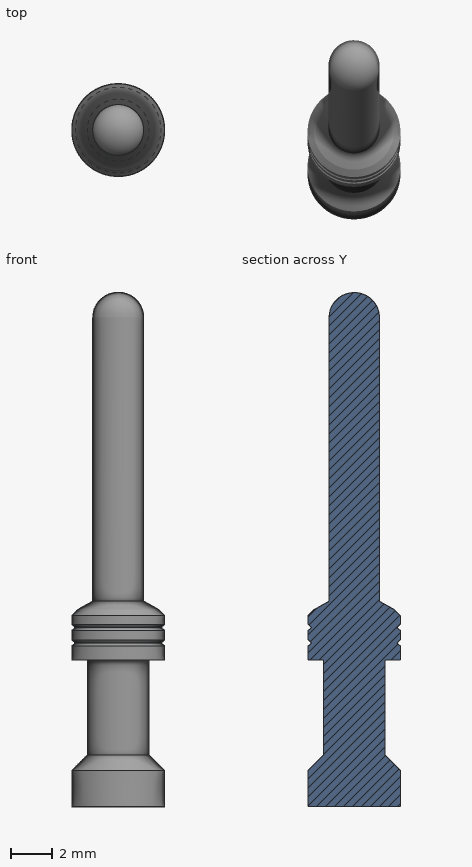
import cadquery as cq
import math

total_length = 24.9
flange_diameter = 4.5
flange_radius = flange_diameter / 2

pin_diameter = 2.47
pin_radius = pin_diameter / 2
dome_start = total_length - pin_radius

neck_diameter = 3.0
neck_radius = neck_diameter / 2
head_height = 1.75
shoulder_top = head_height + flange_radius - neck_radius

collar_bottom = 7.1
collar_edge = 9.25
lead_in_radius = 1.95
lead_in_height = flange_radius - lead_in_radius
collar_top = 9.95

groove_count = 2
first_groove_height = 7.93
groove_pitch = 0.75
groove_depth = 0.18
groove_half_width = 0.15


def make_body():
    """Revolve the ungrooved half profile about Z."""
    dome_mid = pin_radius * math.sqrt(0.5)
    return (
        cq.Workplane("XZ")
        .moveTo(0, 0)
        .lineTo(flange_radius, 0)
        .lineTo(flange_radius, head_height)
        .lineTo(neck_radius, shoulder_top)
        .lineTo(neck_radius, collar_bottom)
        .lineTo(flange_radius, collar_bottom)
        .lineTo(flange_radius, collar_edge)
        .lineTo(lead_in_radius, collar_edge + lead_in_height)
        .lineTo(pin_radius, collar_top)
        .lineTo(pin_radius, dome_start)
        .threePointArc((dome_mid, dome_start + dome_mid), (0, total_length))
        .close()
        .revolve(360, (0, 0, 0), (0, 1, 0))
    )


def make_groove(center):
    """Ring cutter for one V groove centered at height `center`."""
    return (
        cq.Workplane("XZ")
        .moveTo(flange_radius, center - groove_half_width)
        .lineTo(flange_radius - groove_depth, center)
        .lineTo(flange_radius, center + groove_half_width)
        .close()
        .revolve(360, (0, 0, 0), (0, 1, 0))
    )


result = make_body()
for index in range(groove_count):
    result = result.cut(make_groove(first_groove_height + index * groove_pitch))